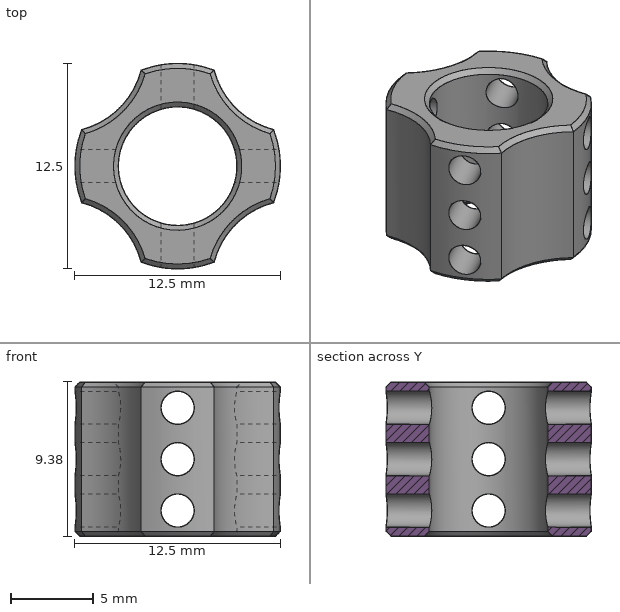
import cadquery as cq

outer_diameter = 12.5
height = 9.38
bore_diameter = 7.2
edge_chamfer = 0.3

flute_count = 4
flute_radius = 5.0
flute_floor_radius = 5.0
flute_axis_radius = flute_floor_radius + flute_radius
first_flute_angle = 180 / flute_count

cross_hole_diameter = 2.0
cross_hole_count = 3
cross_hole_pitch = height / cross_hole_count


def fluted_body():
    """Upright cylinder with four concave flutes, leaving lobes on the X and Y axes."""
    flutes = (
        cq.Workplane("XY")
        .polarArray(flute_axis_radius, first_flute_angle, 360, flute_count)
        .circle(flute_radius)
        .extrude(height)
    )
    return cq.Workplane("XY").circle(outer_diameter / 2).extrude(height).cut(flutes)


def cross_holes(plane):
    """Column of holes running through the whole part, normal to the given upright plane."""
    first_level = cross_hole_pitch / 2
    levels = [first_level + i * cross_hole_pitch for i in range(cross_hole_count)]
    return (
        cq.Workplane(plane)
        .pushPoints([(0, level) for level in levels])
        .circle(cross_hole_diameter / 2)
        .extrude(outer_diameter / 2, both=True)
    )


bored_body = fluted_body().faces(">Z").workplane().hole(bore_diameter)
result = bored_body.faces("|Z").edges().chamfer(edge_chamfer)

for plane in ("YZ", "XZ"):
    result = result.cut(cross_holes(plane))